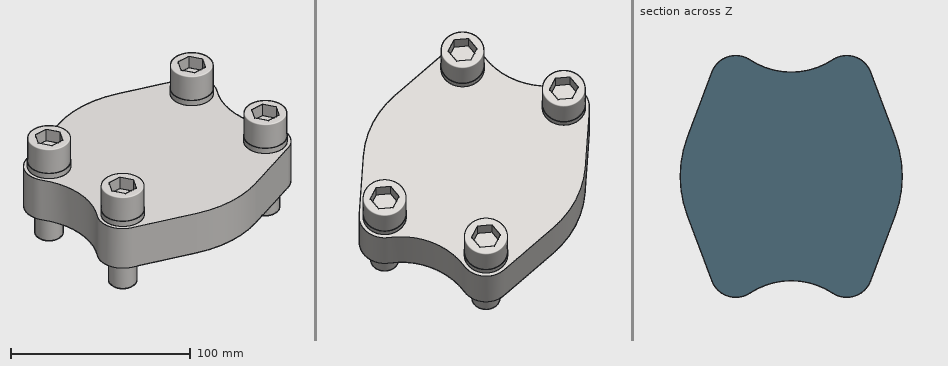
import cadquery as cq
import math

plate_thickness = 27.0
side_radius = 62.0
corner_radius = 14.3
notch_radius = 42.0

screw_pitch_x = 61.9
screw_pitch_y = 106.4
screw_x = screw_pitch_x / 2
screw_y = screw_pitch_y / 2
screw_places = [(sx * screw_x, sy * screw_y) for sx in (-1, 1) for sy in (-1, 1)]

shank_diameter = 16.0
shank_length = 50.0
shank_tip_chamfer = 1.3
head_diameter = 24.0
head_height = 16.0
head_edge_fillet = 0.6
socket_sides = 6
socket_across_flats = 14.0
socket_depth = 7.8

washer_diameter = 24.4
washer_thickness = 3.5

head_seat_z = plate_thickness + washer_thickness


def polar(center, radius, angle):
    """Point on a circle at an angle in radians."""
    return (center[0] + radius * math.cos(angle), center[1] + radius * math.sin(angle))


def mirrored(point, sign_x, sign_y):
    """Copy of a first-quadrant point in the quadrant with the given signs."""
    return (sign_x * point[0], sign_y * point[1])


def make_plate():
    """Plate of bulging sides, straight flanks, rounded ears and concave ends, all tangent."""
    origin = (0.0, 0.0)
    ear = (screw_x, screw_y)

    ear_distance = math.hypot(*ear)
    ear_angle = math.atan2(screw_y, screw_x)
    flank_normal = ear_angle - math.acos((side_radius - corner_radius) / ear_distance)
    side_end = polar(origin, side_radius, flank_normal)
    ear_start = polar(ear, corner_radius, flank_normal)

    center_distance = notch_radius + corner_radius
    notch_center = (0.0, screw_y + math.sqrt(center_distance**2 - screw_x**2))
    notch_normal = math.atan2(notch_center[1] - screw_y, -screw_x)
    ear_end = polar(ear, corner_radius, notch_normal)
    ear_middle = polar(ear, corner_radius, (flank_normal + notch_normal) / 2)
    notch_bottom = (0.0, notch_center[1] - notch_radius)

    outline = cq.Workplane("XY").moveTo(*mirrored(side_end, 1, -1))
    for side in (1, -1):
        outline = (
            outline
            .threePointArc((side * side_radius, 0.0), mirrored(side_end, side, side))
            .lineTo(*mirrored(ear_start, side, side))
            .threePointArc(mirrored(ear_middle, side, side), mirrored(ear_end, side, side))
            .threePointArc(mirrored(notch_bottom, side, side), mirrored(ear_end, -side, side))
            .threePointArc(mirrored(ear_middle, -side, side), mirrored(ear_start, -side, side))
            .lineTo(*mirrored(side_end, -side, side))
        )
    return outline.close().extrude(plate_thickness)


def make_screw():
    """Cap screw on the Z axis with its washer, the head seated on top of the washer."""
    head = (
        cq.Workplane("XY", origin=(0, 0, head_seat_z))
        .circle(head_diameter / 2)
        .extrude(head_height)
        .faces(">Z").edges().fillet(head_edge_fillet)
    )
    shank = (
        cq.Workplane("XY", origin=(0, 0, head_seat_z - shank_length))
        .circle(shank_diameter / 2)
        .extrude(shank_length)
        .faces("<Z").edges().chamfer(shank_tip_chamfer)
    )
    washer = (
        cq.Workplane("XY", origin=(0, 0, plate_thickness))
        .circle(washer_diameter / 2)
        .extrude(washer_thickness)
    )
    socket = (
        cq.Workplane("XY", origin=(0, 0, head_seat_z + head_height - socket_depth))
        .transformed(rotate=(0, 0, 90))
        .polygon(socket_sides, socket_across_flats / math.cos(math.pi / socket_sides))
        .extrude(socket_depth)
    )
    return head.union(washer).union(shank).cut(socket)


result = make_plate()
screw = make_screw()
for x, y in screw_places:
    result = result.union(screw.translate((x, y, 0)))